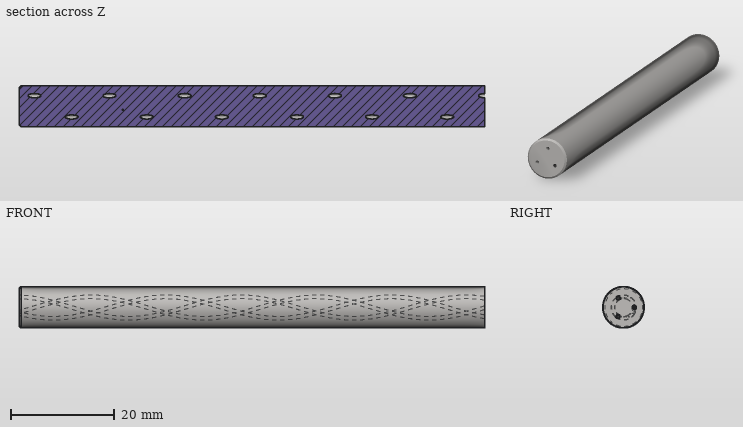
import cadquery as cq
import math

rod_length = 90.0
rod_diameter = 8.0
end_chamfer = 0.4

channel_count = 3
channel_diameter = 0.7
channel_circle_radius = 2.1
first_channel_angle = 96.0
channel_pitch = 43.6


def make_rod():
    rod = cq.Workplane("YZ").circle(rod_diameter / 2).extrude(rod_length)
    return rod.faces("<X").chamfer(end_chamfer).translate((-rod_length / 2, 0, 0))


def channel_center(index):
    angle = math.radians(first_channel_angle + index * 360 / channel_count)
    return (channel_circle_radius * math.cos(angle), channel_circle_radius * math.sin(angle))


def make_channels():
    channel_twist = 360 * rod_length / channel_pitch
    centers = [channel_center(index) for index in range(channel_count)]
    return (
        cq.Workplane("YZ", origin=(-rod_length / 2, 0, 0))
        .pushPoints(centers)
        .circle(channel_diameter / 2)
        .twistExtrude(rod_length, channel_twist)
    )


result = make_rod().cut(make_channels())